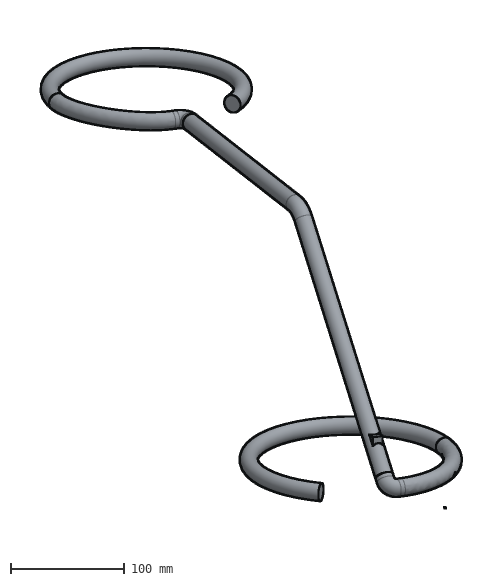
import cadquery as cq
import math


overall_length = 678.0

bar_diameter = 16.0
bar_radius = bar_diameter / 2

left_ring_diameter = 170.0
right_ring_diameter = 180.0
left_ring_radius = left_ring_diameter / 2
right_ring_radius = right_ring_diameter / 2
left_ring_y = -2.0
right_ring_x = 454.5
ring_height_gap = 199.0
ring_end_angle = 40.0

elbow_radius = 9.0
elbow_stub = 4.0
elbow_length = elbow_radius + elbow_stub
left_elbow_x = 83.5
right_elbow_x = 539.0

left_curve_fullness = 0.45
right_curve_fullness = 0.55

slope_angle = 45.0
rod_bend_radius = 28.5
rod_corner_x = right_elbow_x - ring_height_gap / math.tan(math.radians(slope_angle))

lug_length = 11.0
lug_width = 9.5
lug_right_x = 515.5
lug_top_z = 41.5

chip_length = 3.0
chip_thickness = 1.0
chip_right_x = overall_length - left_ring_radius - bar_radius
chip_y = 35.0

up_slope = cq.Vector(-math.cos(math.radians(slope_angle)), 0, math.sin(math.radians(slope_angle)))
along_x = cq.Vector(1, 0, 0)
along_y = cq.Vector(0, 1, 0)
left_corner = cq.Vector(left_elbow_x, 0, ring_height_gap)
right_corner = cq.Vector(right_elbow_x, 0, 0)
rod_corner = cq.Vector(rod_corner_x, 0, ring_height_gap)
left_ring_center = cq.Vector(0, left_ring_y, ring_height_gap)
right_ring_center = cq.Vector(right_ring_x, 0, 0)


def sweep_bar(edges, start, direction):
    """Sweep the round bar section along connected edges."""
    path = cq.Workplane(obj=cq.Wire.assembleEdges(edges))
    section = cq.Workplane(cq.Plane(origin=start, normal=direction))
    return section.circle(bar_radius).sweep(path)


def fillet_arc(corner, toward_start, toward_end, radius):
    """Return the start, the end and the arc that rounds a corner between two directions."""
    half_angle = toward_start.getAngle(toward_end) / 2
    setback = radius / math.tan(half_angle)
    start = corner + toward_start * setback
    end = corner + toward_end * setback
    bisector = (toward_start + toward_end).normalized()
    middle = corner + bisector * (radius / math.sin(half_angle) - radius)
    return start, end, cq.Edge.makeThreePointArc(start, middle, end)


def make_ring(center, radius, joint_side):
    """Open ring from its joint at +Y or -Y, round the -X side, to its free end."""

    def point_at(angle):
        turn = math.radians(angle)
        return center + cq.Vector(radius * math.cos(turn), radius * math.sin(turn), 0)

    free_end = -joint_side * ring_end_angle
    joint = point_at(joint_side * 90)
    arc = cq.Edge.makeThreePointArc(joint, point_at(180), point_at(free_end))
    return sweep_bar([arc], joint, along_x)


def make_connector(ring_joint, corner, joint_side, rod_direction, curve_fullness):
    """Curve from a ring joint to the elbow, then turn through it to the rod."""
    toward_ring = along_y * joint_side
    curve_end = corner + toward_ring * elbow_length
    rod_joint = corner + rod_direction * elbow_length
    curve_span = curve_end - ring_joint
    curve = cq.Edge.makeBezier([
        ring_joint,
        ring_joint + along_x * (curve_fullness * abs(curve_span.x)),
        curve_end + toward_ring * (curve_fullness * abs(curve_span.y)),
        curve_end,
    ])
    bend_start, bend_end, bend = fillet_arc(corner, toward_ring, rod_direction, elbow_radius)
    edges = [
        curve,
        cq.Edge.makeLine(curve_end, bend_start),
        bend,
        cq.Edge.makeLine(bend_end, rod_joint),
    ]
    return sweep_bar(edges, ring_joint, along_x)


def make_rod():
    """Bent rod between the two elbows, carrying the lug."""
    rod_start = left_corner + along_x * elbow_length
    rod_end = right_corner + up_slope * elbow_length
    bend_start, bend_end, bend = fillet_arc(rod_corner, along_x * -1, up_slope * -1, rod_bend_radius)
    edges = [
        cq.Edge.makeLine(rod_start, bend_start),
        bend,
        cq.Edge.makeLine(bend_end, rod_end),
    ]
    bar = sweep_bar(edges, rod_start, along_x)
    lug = (
        cq.Workplane("XY")
        .box(lug_length, lug_width, lug_length)
        .translate((lug_right_x - lug_length / 2, 0, lug_top_z - lug_length / 2))
    )
    return bar.union(lug)


def make_chip():
    """Loose chip level with the underside of the right ring."""
    center = (chip_right_x - chip_length / 2, chip_y, chip_thickness / 2 - bar_radius)
    return cq.Workplane("XY").box(chip_length, chip_thickness, chip_thickness).translate(center)


left_joint = left_ring_center - along_y * left_ring_radius
right_joint = right_ring_center + along_y * right_ring_radius

left_ring = make_ring(left_ring_center, left_ring_radius, -1)
right_ring = make_ring(right_ring_center, right_ring_radius, 1)
left_connector = make_connector(left_joint, left_corner, -1, along_x, left_curve_fullness)
right_connector = make_connector(right_joint, right_corner, 1, up_slope, right_curve_fullness)
rod = make_rod()
chip = make_chip()

result = cq.Compound.makeCompound([
    left_ring.val(),
    right_ring.val(),
    left_connector.val(),
    right_connector.val(),
    rod.val(),
    chip.val(),
])